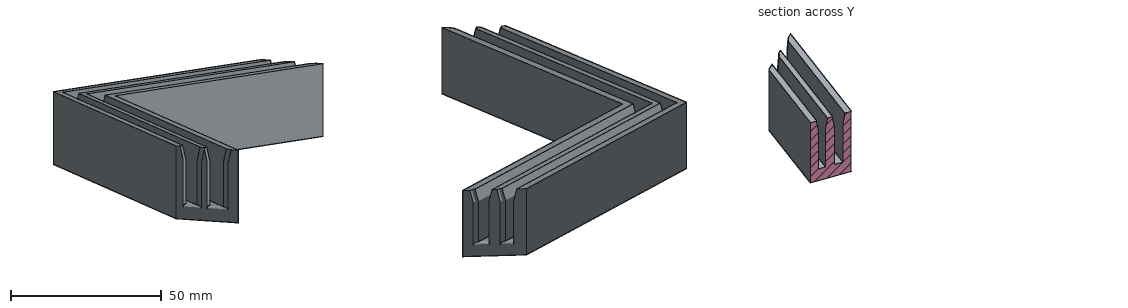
import cadquery as cq
import math

length = 95.0
height = 25.0
width = 15.0
short_length = length - width

grooves = ((3.0, 5.4), (8.8, 11.8))
mouth_depth = 4.75
mouth_flare = 0.8
floor_depth = 19.95

outer_bevel = 1.9
inner_ease = 1.0
floor_round = 0.8

diagonal = math.sqrt(0.5)


def body():
    return (
        cq.Workplane("XY")
        .polyline([
            (0, 0),
            (short_length, 0),
            (length, width),
            (width, width),
            (width, length),
            (0, short_length),
        ])
        .close()
        .extrude(height)
    )


def groove_outline(outer, inner, z):
    """Plan outline of a groove between two wall offsets, with its eased ends."""
    outer_end = short_length + outer
    inner_end = short_length + inner
    outer_step = outer_bevel * diagonal
    inner_step = inner_ease * diagonal

    radius = inner_ease * math.tan(math.pi / 8)
    round_start = (inner, inner_end - inner_ease)
    round_end = (inner + inner_step, inner_end + inner_step)
    center = (inner + radius, inner_end - inner_ease)
    mid_angle = math.radians(180 - 45 / 2 - 45)
    round_middle = (
        center[0] + radius * math.cos(mid_angle),
        center[1] + radius * math.sin(mid_angle),
    )
    return (
        cq.Workplane("XY", origin=(0, 0, z))
        .moveTo(outer, outer)
        .lineTo(outer_end - outer_bevel, outer)
        .lineTo(outer_end - outer_step, outer - outer_step)
        .lineTo(inner_end + inner_step, inner + inner_step)
        .lineTo(inner_end - inner_ease, inner)
        .lineTo(inner, inner)
        .lineTo(*round_start)
        .threePointArc(round_middle, round_end)
        .lineTo(outer, outer_end)
        .close()
    )


def floor_rounding(corner, inward):
    """Bar along the mitre from an outside corner that rounds the floor over into the end face."""
    mitre_plane = cq.Plane(
        origin=(*corner, height - floor_depth),
        xDir=(*inward, 0),
        normal=(1, 1, 0),
    )
    downward = -mitre_plane.yDir.z * floor_round
    arc_middle = 1 - diagonal
    return (
        cq.Workplane(mitre_plane)
        .moveTo(0, 0)
        .lineTo(floor_round, 0)
        .threePointArc((floor_round * arc_middle, downward * arc_middle), (0, downward))
        .close()
        .extrude(width / diagonal)
    )


def groove(outer, inner):
    """Straight slot with a widening mouth and a floor rounded over at both ends."""
    floor = height - floor_depth
    mouth_bottom = height - mouth_depth
    slot = groove_outline(outer, inner, floor).extrude(mouth_bottom - floor)
    mouth = cq.Solid.makeLoft(
        [
            groove_outline(outer, inner, mouth_bottom).val(),
            groove_outline(outer - mouth_flare, inner + mouth_flare, height).val(),
        ],
        True,
    )
    below_floor = groove_outline(outer, inner, floor - floor_round).extrude(floor_round)
    x_rounding = floor_rounding((short_length, 0), (-1, 1))
    y_rounding = floor_rounding((0, short_length), (1, -1))
    end_rounds = below_floor.intersect(x_rounding.union(y_rounding))
    return slot.union(cq.Workplane(mouth)).union(end_rounds)


result = body()
for outer, inner in grooves:
    result = result.cut(groove(outer, inner))